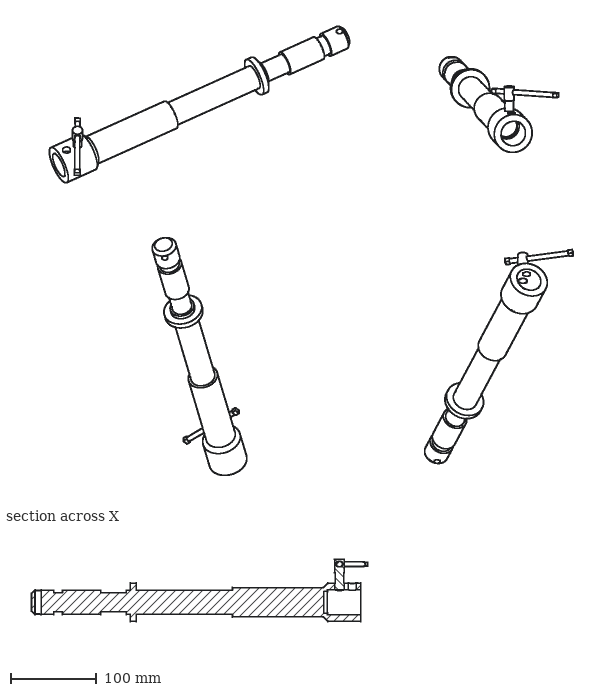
import cadquery as cq

SOCKET_DIA = 45.2
FLANGE_DIA = SOCKET_DIA
BARREL_DIA = 35.0
SPIGOT_DIA = 28.5
NECK_DIA = 23.0
SOCKET_END = 44.0
BARREL_END = 150.0
FLANGE_START = 262.5
FLANGE_END = 269.5
COLLAR_END = 274.5
NECK_END = 304.0
GROOVE_START = 349.0
GROOVE_END = 359.0
SHAFT_LENGTH = 385.0
TIP_CHAMFER = 4.0
BORE_DIA = 29.0
BORE_DEPTH = 39.3
BORE_RELIEF_DIA = 25.0
BORE_RELIEF_DEPTH = 4.0

TIP_HOLE_DIA = 7.0
TIP_HOLE_Y = 377.5
SPARE_HOLE_DIA = 9.0
SPARE_HOLE_Y = 10.2

SCREW_Y = 25.0
SCREW_DIA = 10.2
SCREW_HEAD_DIA = 11.8
SCREW_HEAD_HEIGHT = 15.7
SCREW_ABOVE_SOCKET = 28.0
SCREW_TOP = SOCKET_DIA / 2 + SCREW_ABOVE_SOCKET

BAR_ANGLE = -30.0
BAR_BELOW_TOP = 6.0
BAR_Z = SCREW_TOP - BAR_BELOW_TOP
BAR_DIA = 6.0
BLADE_WIDTH = 6.5
BLADE_THICKNESS = 4.7
BLADE_LENGTH = 5.0
BAR_SHORT_REACH = 21.0
BAR_LONG_REACH = 60.0


def revolve_about_y(outline):
    """Revolve a list of (radius, y) points a full turn about the Y axis."""
    profile = cq.Workplane("XY").polyline(outline).close()
    return profile.revolve(360, (0, 0, 0), (0, 1, 0))


def upright_cylinder(dia, y, bottom, top):
    plane = cq.Workplane("XY").workplane(offset=bottom).center(0, y)
    return plane.circle(dia / 2).extrude(top - bottom)


def make_bore():
    """Bore of the socket, with a narrower relief in its floor."""
    relief_floor = BORE_DEPTH + BORE_RELIEF_DEPTH
    return revolve_about_y([
        (0, 0),
        (BORE_DIA / 2, 0),
        (BORE_DIA / 2, BORE_DEPTH),
        (BORE_RELIEF_DIA / 2, BORE_DEPTH),
        (BORE_RELIEF_DIA / 2, relief_floor),
        (0, relief_floor),
    ])


def make_shaft():
    socket_r = SOCKET_DIA / 2
    barrel_r = BARREL_DIA / 2
    spigot_r = SPIGOT_DIA / 2
    neck_r = NECK_DIA / 2
    flange_r = FLANGE_DIA / 2
    shaft = revolve_about_y([
        (0, 0),
        (socket_r, 0),
        (socket_r, SOCKET_END - (socket_r - barrel_r)),
        (barrel_r, SOCKET_END),
        (barrel_r, BARREL_END),
        (spigot_r, BARREL_END),
        (spigot_r, FLANGE_START),
        (flange_r, FLANGE_START),
        (flange_r, FLANGE_END),
        (spigot_r, FLANGE_END),
        (spigot_r, COLLAR_END),
        (neck_r, COLLAR_END),
        (neck_r, NECK_END),
        (spigot_r, NECK_END),
        (spigot_r, GROOVE_START),
        (neck_r, GROOVE_START),
        (neck_r, GROOVE_END),
        (spigot_r, GROOVE_END),
        (spigot_r, SHAFT_LENGTH - TIP_CHAMFER),
        (spigot_r - TIP_CHAMFER, SHAFT_LENGTH),
        (0, SHAFT_LENGTH),
    ])
    tip_hole = upright_cylinder(TIP_HOLE_DIA, TIP_HOLE_Y, -SPIGOT_DIA, SPIGOT_DIA)
    spare_hole = upright_cylinder(SPARE_HOLE_DIA, SPARE_HOLE_Y, 0, SOCKET_DIA)
    screw_hole = upright_cylinder(SCREW_DIA, SCREW_Y, 0, SOCKET_DIA)
    return shaft.cut(make_bore()).cut(tip_hole).cut(spare_hole).cut(screw_hole)


def place_on_screw(body):
    """Move a body lying along the X axis onto the tommy bar axis."""
    return body.rotate((0, 0, 0), (0, 0, 1), BAR_ANGLE).translate((0, SCREW_Y, BAR_Z))


def make_round_bar(start, end):
    """Round bar along X, between two distances from the screw axis."""
    return cq.Workplane("YZ").workplane(offset=start).circle(BAR_DIA / 2).extrude(end - start)


def make_blade(start):
    """Flattened bar end along X, lying level."""
    plane = cq.Workplane("YZ").workplane(offset=start)
    return plane.rect(BLADE_WIDTH, BLADE_THICKNESS).extrude(BLADE_LENGTH)


def make_tommy_bar():
    round_end = BAR_LONG_REACH - BLADE_LENGTH
    bar = make_round_bar(BLADE_LENGTH - BAR_SHORT_REACH, round_end)
    for blade_start in (-BAR_SHORT_REACH, round_end):
        bar = bar.union(make_blade(blade_start))
    return place_on_screw(bar)


def make_screw():
    head_bottom = SCREW_TOP - SCREW_HEAD_HEIGHT
    shank = upright_cylinder(SCREW_DIA, SCREW_Y, BORE_DIA / 2, head_bottom)
    head = upright_cylinder(SCREW_HEAD_DIA, SCREW_Y, head_bottom, SCREW_TOP)
    bar_hole = place_on_screw(make_round_bar(-SCREW_HEAD_DIA, SCREW_HEAD_DIA))
    return shank.union(head).cut(bar_hole)


shaft = make_shaft()
screw = make_screw()
tommy_bar = make_tommy_bar()

result = cq.Compound.makeCompound([shaft.val(), screw.val(), tommy_bar.val()])